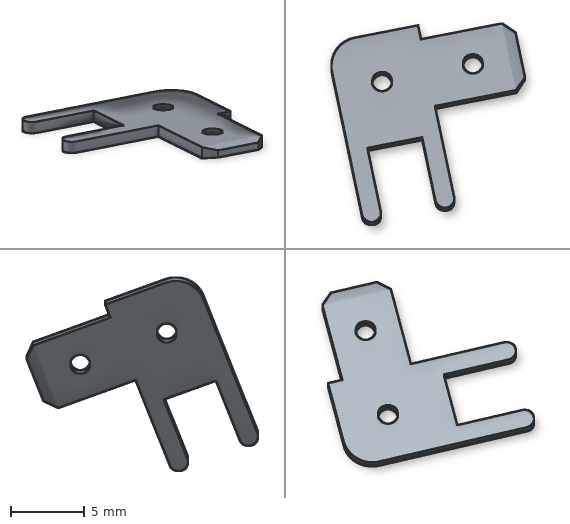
import cadquery as cq

total_length = 12.8
total_height = 13.0
thickness = 0.8

body_width = 6.4
corner_radius = 2.0
leg_width = 1.3
leg_length = 5.2

tab_width = 4.81
tab_step = 1.0
tip_length = 0.79
tip_end_thickness = 0.52

hole_diameter = 1.35
hole_spacing = 6.3

tab_top = total_height - tab_step
tab_center_y = tab_top - tab_width / 2
tip_start_x = total_length - tip_length


def make_body():
    """Rectangular body with one large rounded corner."""
    body_height = total_height - leg_length
    body = cq.Workplane("XY").box(body_width, body_height, thickness, centered=False)
    body = body.translate((0, leg_length, 0))
    return body.edges("|Z and <X and >Y").fillet(corner_radius)


def make_leg(left_x):
    """Straight leg with a fully rounded end."""
    radius = leg_width / 2
    return (
        cq.Workplane("XY")
        .moveTo(left_x, leg_length)
        .lineTo(left_x, radius)
        .threePointArc((left_x + radius, 0), (left_x + leg_width, radius))
        .lineTo(left_x + leg_width, leg_length)
        .close()
        .extrude(thickness)
    )


def make_tab():
    """Blade tab with cut corners and a tip thinned from both faces."""
    tab_length = total_length - body_width
    blank = (
        cq.Workplane("XY")
        .box(tab_length, tab_width, thickness, centered=(False, True, False))
        .translate((body_width, tab_center_y, 0))
        .edges("|Z and >X")
        .chamfer(tip_length)
    )
    face_taper = (thickness - tip_end_thickness) / 2
    side_profile = (
        cq.Workplane("XZ", origin=(0, tab_top, 0))
        .polyline([
            (body_width, 0),
            (tip_start_x, 0),
            (total_length, face_taper),
            (total_length, thickness - face_taper),
            (tip_start_x, thickness),
            (body_width, thickness),
        ])
        .close()
        .extrude(tab_width)
    )
    return blank.intersect(side_profile)


plate = make_body().union(make_tab())
for leg_x in (0, body_width - leg_width):
    plate = plate.union(make_leg(leg_x))

body_hole_x = body_width / 2
holes = (
    cq.Workplane("XY")
    .pushPoints([
        (body_hole_x, tab_center_y),
        (body_hole_x + hole_spacing, tab_center_y),
    ])
    .circle(hole_diameter / 2)
    .extrude(thickness)
)

result = plate.cut(holes)